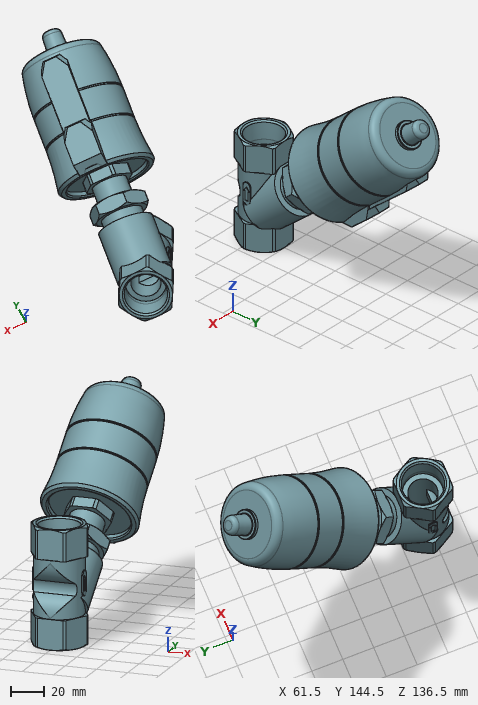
import cadquery as cq
import math


PIPE_LENGTH = 75.2
HEX_ACROSS_FLATS = 32.0
HEX_CORNER_DIA = 35.9
HEX_HEIGHT = 19.2
HEX_FACE_DIA = 32.0
HEX_BEVEL_ANGLE = 30.0
BARREL_DIA = 31.2
BORE_DIA = 18.0
THREAD_DIA = 24.69
THREAD_LENGTH = 12.7
THREAD_MOUTH_DIA = 26.0
SOCKET_DEPTH = 16.2
SOCKET_BEVEL_DIA = 28.2

SADDLE_TOP = 16.4
SADDLE_BOTTOM = -17.9
SADDLE_FLOOR_HEIGHT = 7.6
SADDLE_FLOOR_SAG = 1.1
WALL_THICKNESS = 1.8

PLATE_WIDTH = 5.6
PLATE_LENGTH = 15.9
PLATE_CENTRE_Z = 1.75
PLATE_FACE_X = 16.2
ARROW_DEPTH = 0.2
ARROW_TIP_Z = 6.4
ARROW_HEAD_Z = 3.5
ARROW_TAIL_Z = -3.1
ARROW_HEAD_WIDTH = 4.4
ARROW_SHAFT_WIDTH = 2.4

BRANCH_ELEVATION = 40.0
BRANCH_ORIGIN_Z = -14.0
BRANCH_START = 2.0
BRANCH_DIA = 34.4
BRANCH_END = 35.0
COLLAR_DIA = 26.0
COLLAR_END = 41.7
NUT_ACROSS_FLATS = 32.0
NUT_CORNER_DIA = 36.95
NUT_FACE_DIA = 32.0
NUT_END = 50.7
NECK_DIA = 22.0
NECK_END = 62.8
LOCKNUT_ACROSS_FLATS = 27.0
LOCKNUT_CORNER_DIA = 30.0

CAN_START = 66.2
CAN_BOTTOM_RADIUS = 29.3
RIM_RADIUS = 61.49 / 2
RIM_HEIGHT = 2.0
WAIST_RADIUS = 28.4
GROOVE_STATIONS = (95.3, 116.0)
GROOVE_WIDTH = 1.0
GROOVE_DEPTH = 0.4
SHOULDER_STATION = 143.5
SHOULDER_RADIUS = 25.5
CAN_TOP = 148.3
CAN_TOP_FLAT_RADIUS = 20.65
RECESS_DIA = 51.7
RECESS_MOUTH_DIA = 53.4
RECESS_DEPTH = 3.4

WASHER_DIA = 18.2
WASHER_HEIGHT = 2.2
WASHER_BEVEL = 0.4
STEM_COLLAR_DIA = 13.9
STEM_COLLAR_HEIGHT = 0.3
INDICATOR_END = 164.32
INDICATOR_BASE_DIA = 13.3
INDICATOR_TOP_DIA = 12.1
INDICATOR_TIP_RADIUS = 3.0

PORT_INNER_DEPTH = 18.0
LOW_PORT_WIDTH = 18.6
LOW_PORT_DEPTH = 34.1
LOW_PORT_TOP = 95.4
LOW_PORT_BEVEL = 5.4
LOW_PORT_BEVEL_HEIGHT = 6.0
HIGH_PORT_WIDTH = 17.6
HIGH_PORT_DEPTH = 29.1
HIGH_PORT_TOP = 140.1
PORT_TOP_RISE_ANGLE = 22.0
PORT_CORNER_WIDTH = 5.0
PORT_CORNER_DROP = 8.2
PORT_CORNER_ANGLE = 49.5


def disc(diameter, start, end):
    return cq.Workplane("XY", origin=(0, 0, start)).circle(diameter / 2).extrude(end - start)


def spin(profile):
    """Revolve a half profile, drawn as (radius, station), about the Z axis."""
    return profile.revolve(360, (0, 0, 0), (0, 1, 0))


def hexagon(across_flats, start, end):
    sides = 6
    corners = across_flats / math.cos(math.pi / sides)
    return cq.Workplane("XY", origin=(0, 0, start)).polygon(sides, corners).extrude(end - start)


def turned(corner_dia, bottom_face_dia, top_face_dia, start, end):
    """Round blank whose bevelled ends trim the corners of a hexagon."""
    slope = math.tan(math.radians(HEX_BEVEL_ANGLE))
    radius = corner_dia / 2
    bottom_bevel = (corner_dia - bottom_face_dia) / 2 * slope
    top_bevel = (corner_dia - top_face_dia) / 2 * slope
    profile = cq.Workplane("XZ").moveTo(0, start).lineTo(bottom_face_dia / 2, start)
    if bottom_bevel > 0:
        profile = profile.lineTo(radius, start + bottom_bevel)
    profile = profile.lineTo(radius, end - top_bevel)
    if top_bevel > 0:
        profile = profile.lineTo(top_face_dia / 2, end)
    return spin(profile.lineTo(0, end).close())


def pipe_end_hex():
    """Upper hexagonal pipe end, bevelled at its open face."""
    end = PIPE_LENGTH / 2
    start = end - HEX_HEIGHT
    blank = turned(HEX_CORNER_DIA, HEX_CORNER_DIA, HEX_FACE_DIA, start, end)
    return hexagon(HEX_ACROSS_FLATS, start, end).intersect(blank)


def saddle(wall):
    """Prism along X filling the saddle: two convex arcs joined by a floor.

    Without a wall the floor is hollow, as on the outside. A positive wall pulls the
    arcs towards the pipe axis and gives a flat floor that clears the hollow by the wall.
    """
    outer_radius = BARREL_DIA / 2
    middle = (SADDLE_TOP + SADDLE_BOTTOM) / 2
    outer_edge_rise = (SADDLE_TOP - SADDLE_BOTTOM - SADDLE_FLOOR_HEIGHT) / 2
    outer_edge_y = -math.sqrt(outer_radius**2 - outer_edge_rise**2)
    floor_y = outer_edge_y + SADDLE_FLOOR_SAG + wall
    edge_y = floor_y if wall > 0 else outer_edge_y

    radius = outer_radius - wall
    edge_rise = math.sqrt(radius**2 - edge_y**2)
    arc_middle_angle = math.atan2(edge_rise, -edge_y) / 2
    arc_y = -radius * math.cos(arc_middle_angle)
    arc_rise = radius * math.sin(arc_middle_angle)
    outside_y = -BARREL_DIA
    floor_end = (edge_y, SADDLE_BOTTOM + edge_rise)

    profile = (
        cq.Workplane("YZ", origin=(-BARREL_DIA, 0, 0))
        .moveTo(outside_y, SADDLE_TOP)
        .lineTo(-radius, SADDLE_TOP)
        .threePointArc((arc_y, SADDLE_TOP - arc_rise), (edge_y, SADDLE_TOP - edge_rise))
    )
    if wall > 0:
        profile = profile.lineTo(*floor_end)
    else:
        profile = profile.threePointArc((floor_y, middle), floor_end)
    return (
        profile.threePointArc((arc_y, SADDLE_BOTTOM + arc_rise), (-radius, SADDLE_BOTTOM))
        .lineTo(outside_y, SADDLE_BOTTOM)
        .close()
        .extrude(2 * BARREL_DIA)
    )


def barrel():
    half = PIPE_LENGTH / 2 - HEX_HEIGHT
    return disc(BARREL_DIA, -half, half)


def flow_plate():
    """Raised slot-shaped plate through the barrel with an upward arrow sunk in each face."""
    plate = (
        cq.Workplane("YZ", origin=(-PLATE_FACE_X, 0, PLATE_CENTRE_Z))
        .slot2D(PLATE_LENGTH, PLATE_WIDTH, 90)
        .extrude(2 * PLATE_FACE_X)
    )
    half_arrow = [
        (ARROW_HEAD_WIDTH / 2, ARROW_HEAD_Z),
        (ARROW_SHAFT_WIDTH / 2, ARROW_HEAD_Z),
        (ARROW_SHAFT_WIDTH / 2, ARROW_TAIL_Z),
    ]
    mirrored = [(-y, z) for y, z in reversed(half_arrow)]
    arrow = [(0, ARROW_TIP_Z)] + half_arrow + mirrored
    for start_x in (-PLATE_FACE_X, PLATE_FACE_X - ARROW_DEPTH):
        sunk = cq.Workplane("YZ", origin=(start_x, 0, 0)).polyline(arrow).close().extrude(ARROW_DEPTH)
        plate = plate.cut(sunk)
    return plate


def pipe_bore():
    """Through bore, narrowed by the wall behind the saddle."""
    return disc(BORE_DIA, -PIPE_LENGTH / 2, PIPE_LENGTH / 2).cut(saddle(WALL_THICKNESS))


def thread_socket():
    """Socket in the upper pipe end: bevelled mouth, tapered thread and a plain bottom."""
    end = PIPE_LENGTH / 2
    floor = end - SOCKET_DEPTH
    bevel = (SOCKET_BEVEL_DIA - THREAD_MOUTH_DIA) / 2
    return spin(
        cq.Workplane("XZ")
        .moveTo(0, floor)
        .lineTo(THREAD_DIA / 2, floor)
        .lineTo(THREAD_DIA / 2, end - THREAD_LENGTH)
        .lineTo(THREAD_MOUTH_DIA / 2, end - bevel)
        .lineTo(SOCKET_BEVEL_DIA / 2, end)
        .lineTo(0, end)
        .close()
    )


def bonnet():
    """Branch barrel, collar, nut, neck and locknut stacked along the branch axis (local Z)."""
    nut_blank = turned(NUT_CORNER_DIA, NUT_FACE_DIA, NUT_FACE_DIA, COLLAR_END, NUT_END)
    locknut_end = CAN_START + RECESS_DEPTH
    locknut_blank = disc(LOCKNUT_CORNER_DIA, NECK_END, locknut_end)
    return (
        disc(BRANCH_DIA, BRANCH_START, BRANCH_END)
        .union(disc(COLLAR_DIA, BRANCH_END, COLLAR_END))
        .union(hexagon(NUT_ACROSS_FLATS, COLLAR_END, NUT_END).intersect(nut_blank))
        .union(disc(NECK_DIA, NUT_END, NECK_END))
        .union(hexagon(LOCKNUT_ACROSS_FLATS, NECK_END, locknut_end).intersect(locknut_blank))
    )


def flare_middle(tangent_station, tangent_radius, end_station, end_radius):
    """Point halfway along a shallow arc that leaves the waist tangent to the axis direction."""
    station = (tangent_station + end_station) / 2
    radius = tangent_radius + (end_radius - tangent_radius) / 4
    return radius, station


def can():
    """Actuator housing: flared skirt, cylindrical waist and a tapering, rounded cap."""
    low_groove, high_groove = GROOVE_STATIONS
    skirt_start = CAN_START + RIM_HEIGHT
    top_round = SHOULDER_RADIUS - CAN_TOP_FLAT_RADIUS
    round_middle = top_round * math.sin(math.pi / 4)
    body = spin(
        cq.Workplane("XZ")
        .moveTo(0, CAN_START)
        .lineTo(CAN_BOTTOM_RADIUS, CAN_START)
        .lineTo(RIM_RADIUS, skirt_start)
        .threePointArc(
            flare_middle(low_groove, WAIST_RADIUS, skirt_start, RIM_RADIUS),
            (WAIST_RADIUS, low_groove),
        )
        .lineTo(WAIST_RADIUS, high_groove)
        .threePointArc(
            flare_middle(high_groove, WAIST_RADIUS, SHOULDER_STATION, SHOULDER_RADIUS),
            (SHOULDER_RADIUS, SHOULDER_STATION),
        )
        .threePointArc(
            (CAN_TOP_FLAT_RADIUS + round_middle, CAN_TOP - top_round + round_middle),
            (CAN_TOP_FLAT_RADIUS, CAN_TOP),
        )
        .lineTo(0, CAN_TOP)
        .close()
    )
    for station in GROOVE_STATIONS:
        start = station - GROOVE_WIDTH / 2
        end = station + GROOVE_WIDTH / 2
        core = disc(2 * (WAIST_RADIUS - GROOVE_DEPTH), start, end)
        body = body.cut(disc(2 * RIM_RADIUS, start, end).cut(core))
    return body


def can_recess():
    """Shallow recess with a bevelled mouth in the lower face, left clear around the locknut."""
    floor = CAN_START + RECESS_DEPTH
    bevel = (RECESS_MOUTH_DIA - RECESS_DIA) / 2
    return spin(
        cq.Workplane("XZ")
        .moveTo(0, CAN_START)
        .lineTo(RECESS_MOUTH_DIA / 2, CAN_START)
        .lineTo(RECESS_DIA / 2, CAN_START + bevel)
        .lineTo(RECESS_DIA / 2, floor)
        .lineTo(0, floor)
        .close()
    )


def indicator():
    """Washer and tapering indicator stem with a domed tip."""
    washer_end = CAN_TOP + WASHER_HEIGHT
    dome = INDICATOR_TOP_DIA / 2 - INDICATOR_TIP_RADIUS
    dome_middle = dome * math.sin(math.pi / 4)
    stem = spin(
        cq.Workplane("XZ")
        .moveTo(0, CAN_TOP)
        .lineTo(INDICATOR_BASE_DIA / 2, CAN_TOP)
        .lineTo(INDICATOR_TOP_DIA / 2, INDICATOR_END - dome)
        .threePointArc(
            (INDICATOR_TIP_RADIUS + dome_middle, INDICATOR_END - dome + dome_middle),
            (INDICATOR_TIP_RADIUS, INDICATOR_END),
        )
        .lineTo(0, INDICATOR_END)
        .close()
    )
    washer = disc(WASHER_DIA, CAN_TOP, washer_end).faces(">Z").chamfer(WASHER_BEVEL)
    collar = disc(STEM_COLLAR_DIA, washer_end, washer_end + STEM_COLLAR_HEIGHT)
    return washer.union(collar).union(stem)


def port_block(width, depth, bottom, top):
    """Block on the underside (local +Y) whose upper outer corners are cut obliquely."""
    top_rise = (depth - PORT_INNER_DEPTH) * math.tan(math.radians(PORT_TOP_RISE_ANGLE))
    block = (
        cq.Workplane("YZ", origin=(-width / 2, 0, 0))
        .moveTo(PORT_INNER_DEPTH, bottom)
        .lineTo(depth, bottom)
        .lineTo(depth, top)
        .lineTo(PORT_INNER_DEPTH, top + top_rise)
        .close()
        .extrude(width)
    )
    side_slope = math.tan(math.radians(PORT_CORNER_ANGLE))
    cutter_size = 2 * width
    for side in (-1, 1):
        low_corner = cq.Vector(side * width / 2, depth, top - PORT_CORNER_DROP)
        along_side = cq.Vector(0, -1, side_slope)
        top_corner = cq.Vector(side * (width / 2 - PORT_CORNER_WIDTH), depth, top)
        outward = along_side.cross(top_corner - low_corner) * -side
        plane = cq.Plane(origin=low_corner, xDir=along_side, normal=outward)
        cutter = cq.Workplane(plane).rect(cutter_size, cutter_size).extrude(cutter_size)
        block = block.cut(cutter)
    return block


def ports():
    """Deep lower block, bevelled at the rim, and a shallower block reaching up the cap."""
    bevel_end = CAN_START + LOW_PORT_BEVEL_HEIGHT
    rim_bevel = (
        cq.Workplane("YZ", origin=(-LOW_PORT_WIDTH / 2, 0, 0))
        .moveTo(LOW_PORT_DEPTH - LOW_PORT_BEVEL, CAN_START)
        .lineTo(LOW_PORT_DEPTH, CAN_START)
        .lineTo(LOW_PORT_DEPTH, bevel_end)
        .close()
        .extrude(LOW_PORT_WIDTH)
    )
    low = port_block(LOW_PORT_WIDTH, LOW_PORT_DEPTH, CAN_START, LOW_PORT_TOP).cut(rim_bevel)
    return low.union(port_block(HIGH_PORT_WIDTH, HIGH_PORT_DEPTH, bevel_end, HIGH_PORT_TOP))


def actuator():
    return can().union(ports()).cut(can_recess()).union(indicator())


def on_branch(shape):
    """Tilt a shape built along Z onto the branch axis."""
    tilt = BRANCH_ELEVATION - 90
    return shape.rotate((0, 0, 0), (1, 0, 0), tilt).translate((0, 0, BRANCH_ORIGIN_Z))


def mirrored_ends(shape):
    return shape.union(shape.mirror("XY"))


body = (
    barrel()
    .union(flow_plate())
    .union(on_branch(bonnet()))
    .cut(saddle(0))
    .union(mirrored_ends(pipe_end_hex()))
    .cut(pipe_bore())
    .cut(mirrored_ends(thread_socket()))
)
result = body.union(on_branch(actuator()))